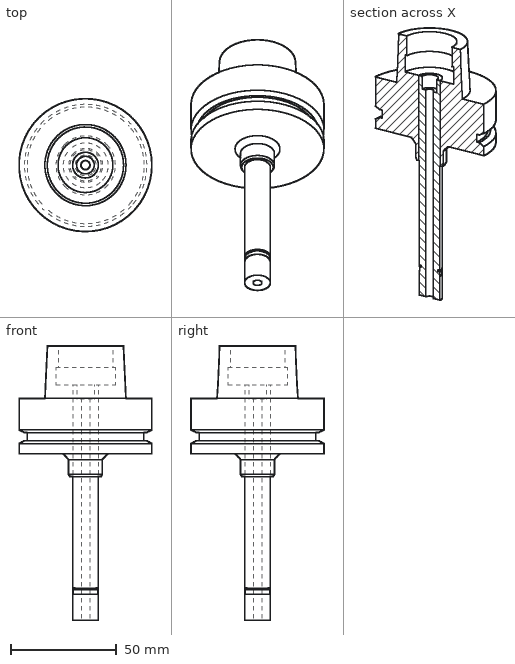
import cadquery as cq

total_height = 130.0
flange_top = 105.2
flange_bottom = 78.9

taper_top_radius = 18.1
taper_base_radius = 19.2
socket_radius = 13.0
socket_mouth_depth = 10.0
undercut_radius = 14.0
socket_depth = 18.5
socket_floor = total_height - socket_depth

flange_diameter = 63.0
flange_radius = flange_diameter / 2
gripper_radius = 27.7
bevel_inner_radius = 29.0
gripper_top = 88.9
gripper_bottom = 85.2
upper_bevel_edge = 90.2
lower_bevel_edge = 83.7

neck_radius = 10.7
collar_radius = 8.0
collar_top = 76.2
collar_bottom = 68.1
collar_chamfer_radial = 0.6
collar_chamfer_height = 1.0

shank_radius = 6.1
coolant_radius = 2.1
counterbore_radius = 4.2
counterbore_depth = 6.5
groove_radius = 5.0
groove_top = 15.2
groove_height = 0.6
band_radius = 6.0
band_bottom = 12.4


def revolve_profile(points):
    """Turn a closed outline of (radius, height) points about the Z axis."""
    return cq.Workplane("XZ").polyline(points).close().revolve(360, (0, 0), (0, 1))


def cylinder(radius, bottom, top):
    return cq.Workplane("XY").workplane(offset=bottom).circle(radius).extrude(top - bottom)


def make_holder():
    body = revolve_profile([
        (0, total_height),
        (taper_top_radius, total_height),
        (taper_base_radius, flange_top),
        (flange_radius, flange_top),
        (flange_radius, upper_bevel_edge),
        (bevel_inner_radius, gripper_top),
        (gripper_radius, gripper_top),
        (gripper_radius, gripper_bottom),
        (bevel_inner_radius, gripper_bottom),
        (flange_radius, lower_bevel_edge),
        (flange_radius, flange_bottom),
        (neck_radius, flange_bottom),
        (collar_radius, collar_top),
        (collar_radius, collar_bottom + collar_chamfer_height),
        (collar_radius - collar_chamfer_radial, collar_bottom),
        (0, collar_bottom),
    ])
    mouth = cylinder(socket_radius, socket_floor, total_height)
    undercut = cylinder(undercut_radius, socket_floor, total_height - socket_mouth_depth)
    shank_bore = cylinder(shank_radius, collar_bottom, socket_floor)
    return body.cut(mouth).cut(undercut).cut(shank_bore)


def make_tool():
    groove_bottom = groove_top - groove_height
    body = revolve_profile([
        (0, 0),
        (shank_radius, 0),
        (shank_radius, band_bottom),
        (band_radius, band_bottom),
        (band_radius, groove_bottom),
        (groove_radius, groove_bottom),
        (groove_radius, groove_top),
        (shank_radius, groove_top),
        (shank_radius, socket_floor),
        (0, socket_floor),
    ])
    coolant_hole = cylinder(coolant_radius, 0, socket_floor)
    counterbore = cylinder(counterbore_radius, socket_floor - counterbore_depth, socket_floor)
    return body.cut(coolant_hole).cut(counterbore)


holder = make_holder()
tool = make_tool()

result = cq.Compound.makeCompound([holder.val(), tool.val()])